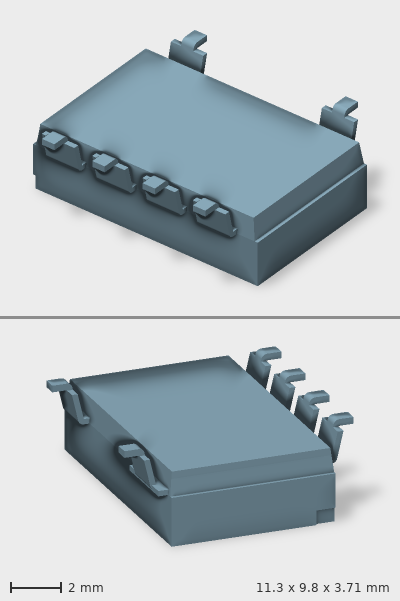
import cadquery as cq

base_length = 11.32
base_width = 7.02
base_height = 2.08

notch_depth = 0.11
notch_width = 0.83
notch_height = 0.62

cap_height = 1.01
cap_bottom_length = 11.01
cap_top_width = 6.78
cap_plain_inset = 0.15
cap_bend_rise = 0.7
cap_bend_inset = 0.09
cap_upper_inset = 0.02

lead_pitch = 2.54
lead_width = 1.63
foot_width = 0.62
plate_thickness = 0.23
foot_thickness = 0.28
foot_tip_y = 4.9
foot_top_z = 3.71
lead_anchor_y = 2.26
plate_top_z = 3.41
plate_inner_bottom_y = 3.76
plate_inner_top_y = 4.02
plate_run = 0.25
lower_bend_radius = 0.24
upper_bend_radius = 0.25

tab_min_x = -5.31
tab_max_x = -2.29
tab_tip_y = 3.94

cap_top_z = base_height + cap_height
cap_bend_z = base_height + cap_bend_rise
plate_inner_bottom_z = base_height + plate_thickness
foot_bottom_z = foot_top_z - foot_thickness
plate_slope = (plate_inner_top_y - plate_inner_bottom_y) / (plate_top_z - plate_inner_bottom_z)
plate_outer_top_y = plate_inner_top_y + plate_run
plate_outer_bottom_y = plate_outer_top_y - plate_slope * (plate_top_z - base_height)
foot_inner_top_y = plate_inner_top_y + plate_slope * (foot_top_z - plate_top_z)


def make_base():
    base = cq.Workplane("XY").box(base_length, base_width, base_height, centered=(True, True, False))
    notch = (
        cq.Workplane("XY")
        .box(notch_depth, notch_width, notch_height, centered=False)
        .translate((-base_length / 2, -base_width / 2, 0))
    )
    return base.cut(notch)


def extrude_profile(points, width):
    """Extrude a closed YZ polygon to the given width, centred on X = 0."""
    return cq.Workplane("YZ").polyline(points).close().extrude(width / 2, both=True)


def make_cap():
    """Overlap of a long-side outline and an end outline, so all four sides slope inwards."""
    long_side = (
        cq.Workplane("XZ")
        .polyline(
            [
                (-cap_bottom_length / 2, base_height),
                (cap_bottom_length / 2, base_height),
                (cap_bottom_length / 2 - cap_plain_inset, cap_top_z),
                (-cap_bottom_length / 2 + cap_bend_inset + cap_upper_inset, cap_top_z),
                (-cap_bottom_length / 2 + cap_bend_inset, cap_bend_z),
            ]
        )
        .close()
        .extrude(base_width / 2, both=True)
    )
    end = extrude_profile(
        [
            (-base_width / 2, base_height),
            (base_width / 2, base_height),
            (cap_top_width / 2, cap_top_z),
            (-cap_top_width / 2, cap_top_z),
        ],
        cap_bottom_length,
    )
    return long_side.intersect(end)


def round_edge(solid, y, z, radius):
    """Round the edge parallel to X that passes nearest the given Y and Z."""
    return solid.edges("|X").edges(cq.selectors.NearestToPointSelector((0, y, z))).fillet(radius)


def make_lead():
    """Lead on the +Y side, centred on X = 0."""
    plate = extrude_profile(
        [
            (lead_anchor_y, base_height),
            (plate_outer_bottom_y, base_height),
            (plate_outer_top_y, plate_top_z),
            (plate_inner_top_y, plate_top_z),
            (plate_inner_bottom_y, plate_inner_bottom_z),
            (lead_anchor_y, plate_inner_bottom_z),
        ],
        lead_width,
    )
    plate = round_edge(plate, plate_outer_bottom_y, base_height, lower_bend_radius)
    foot = extrude_profile(
        [
            (plate_inner_top_y, plate_top_z),
            (foot_inner_top_y, foot_top_z),
            (foot_tip_y, foot_top_z),
            (foot_tip_y, foot_bottom_z),
            (plate_outer_top_y, foot_bottom_z),
            (plate_outer_top_y, plate_top_z),
        ],
        foot_width,
    )
    foot = round_edge(foot, foot_inner_top_y, foot_top_z, upper_bend_radius)
    return plate.union(foot)


def make_tab():
    return (
        cq.Workplane("XY")
        .box(tab_max_x - tab_min_x, tab_tip_y - lead_anchor_y, plate_thickness, centered=False)
        .translate((tab_min_x, lead_anchor_y, base_height))
    )


inner_lead_x = lead_pitch / 2
outer_lead_x = inner_lead_x + lead_pitch

back_lead = make_lead()
front_lead = back_lead.mirror("XZ")

result = make_base().union(make_cap()).union(make_tab())
for x in (-outer_lead_x, outer_lead_x):
    result = result.union(back_lead.translate((x, 0, 0)))
for x in (-outer_lead_x, -inner_lead_x, inner_lead_x, outer_lead_x):
    result = result.union(front_lead.translate((x, 0, 0)))